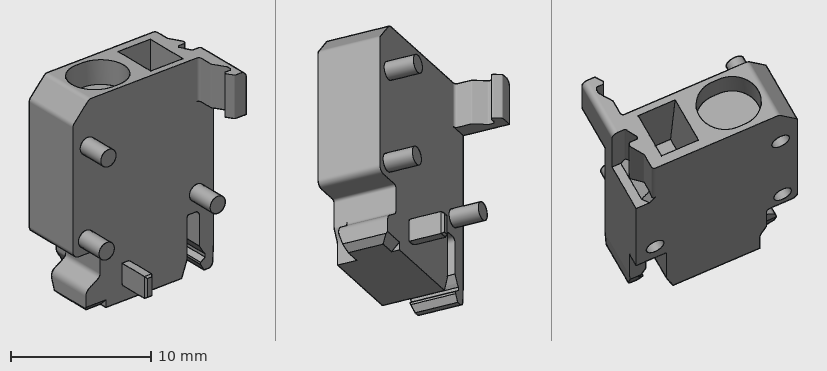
import cadquery as cq
import math


thickness = 4.99
depth = 12.9
height = 17.45
shoulder_z = 4.97

chamfer_y = 1.48
chamfer_z = 1.64
chamfer_rounding = 0.49
back_rounding = 0.49
belly_rounding = 0.52

stem_front = 2.48
stem_back = 10.47
stem_front_inner_rounding = 0.25
stem_back_inner_rounding = 0.14
stem_taper_y = 0.5
stem_taper_z = 1.4
undercut_y = 3.02
undercut_top_z = 2.69
undercut_bottom_z = 1.78
undercut_top_rounding = 0.44
undercut_bottom_rounding = 1.05

side_setback = 1.05
side_slope_z = 1.45
side_slope_x = 0.5
overlap = 0.87

foot_front = 1.19
foot_shoulder_z = 1.9
foot_toe_y = 0.52
foot_toe_z = 0.5
foot_shoulder_rounding = 0.7
foot_root_rounding = 0.44
foot_end_chamfer = 0.63

arm_inner = 11.59
arm_taper_z = 2.1
arm_tip_back = 12.79
arm_tip_rounding = 0.45
arm_root_rounding = 0.38
arm_neck = (11.94, 1.5)
arm_notch_top = (12.11, 1.27)
arm_notch_bottom = (12.11, 1.01)
arm_nose_top = (11.7, 0.73)
arm_nose_bottom = (11.7, 0.55)
arm_tip_inner = 12.0

ledge_y = 11.57
ramp_start = 1.36
ramp_end = 2.39
root_rounding = 0.23
ramp_rounding = 0.21
catch_rounding = 0.21
lip_rounding = 0.17
end_rounding = 0.12
lip_end_y = 11.85
hook_plate_y = 12.22
hook_catch = 2.91
hook_lip_y = 11.35
hook_length = 3.72
hook_bottom_z = 13.9
recess_plate_y = 12.16
recess_catch = 2.74
recess_lip_y = 11.25
recess_length = 3.85
recess_bottom_z = 12.95
recess_slope_start = 12.2
recess_slope_run = 1.4
recess_skew_x = 0.52
recess_skew_y = 0.38

pocket_x = 2.58
pocket_y = 9.04
pocket_width = 3.73
pocket_length = 2.95
pocket_depth = 5.24
pocket_lean = 0.37
screw_x = 2.51
screw_y = 4.25
screw_width = 4.15
screw_length = 4.71
screw_depth = 2.0

peg_places = [(1.36, 13.7), (11.38, 6.51), (1.2, 6.2)]
peg_diameter = 1.4
peg_length = 2.35

blade_y = 4.78
blade_z = 2.25
blade_thickness = 0.66
blade_width = 1.78
blade_length = 2.81
blade_base_length = 0.17
blade_base_inset = 0.03
blade_tip_length = 0.2
blade_tip_inset = 0.12


def side_plate(points, start_x, end_x):
    """Plate between two X positions with a (Y, Z) outline."""
    return cq.Workplane("YZ", origin=(start_x, 0, 0)).polyline(points).close().extrude(end_x - start_x)


def round_edge(body, y, z, radius):
    """Round the edge along X that lies nearest to (y, z)."""
    mid_x = (side_setback + thickness) / 2
    edge = cq.selectors.NearestToPointSelector((mid_x, y, z))
    return body.edges("|X").edges(edge).fillet(radius)


def make_block(length):
    """Block with shoulders and stem, reaching from X = 0 to the given length."""
    block = side_plate(
        [
            (0, shoulder_z),
            (0, height - chamfer_z),
            (chamfer_y, height),
            (depth, height),
            (depth, shoulder_z),
            (stem_back, shoulder_z),
            (stem_back, stem_taper_z),
            (stem_back - stem_taper_y, 0),
            (undercut_y, 0),
            (undercut_y, undercut_bottom_z),
            (stem_front, undercut_top_z),
            (stem_front, shoulder_z),
        ],
        0,
        length,
    )
    roundings = [
        (0, shoulder_z, belly_rounding),
        (0, height - chamfer_z, chamfer_rounding),
        (chamfer_y, height, chamfer_rounding),
        (depth, height, back_rounding),
        (stem_back, shoulder_z, stem_back_inner_rounding),
        (undercut_y, undercut_bottom_z, undercut_bottom_rounding),
        (stem_front, undercut_top_z, undercut_top_rounding),
        (stem_front, shoulder_z, stem_front_inner_rounding),
    ]
    for y, z, radius in roundings:
        block = round_edge(block, y, z, radius)
    return block


def side_slope_cutter():
    """Wedge that makes the set-back side face lean inwards towards the bottom."""
    return (
        cq.Workplane("XZ")
        .polyline([(side_setback, side_slope_z), (side_setback + side_slope_x, 0), (side_setback, 0)])
        .close()
        .extrude(-depth)
    )


def make_foot():
    """Fixed foot below the front shoulder."""
    inside_y = stem_front + overlap
    root_top_z = undercut_top_z + overlap
    foot = side_plate(
        [
            (inside_y, 0),
            (foot_front + foot_toe_y, 0),
            (foot_front, foot_toe_z),
            (foot_front, foot_shoulder_z),
            (stem_front, undercut_top_z),
            (stem_front, root_top_z),
            (inside_y, root_top_z),
        ],
        side_setback,
        thickness,
    )
    foot = round_edge(foot, foot_front, foot_shoulder_z, foot_shoulder_rounding)
    foot = round_edge(foot, stem_front, undercut_top_z, foot_root_rounding)
    foot = foot.faces(">X").edges("<Z").chamfer(foot_end_chamfer)
    return foot.cut(side_slope_cutter())


def make_arm():
    """Spring arm with a notched tip below the back shoulder."""
    arm = side_plate(
        [
            (depth, shoulder_z + overlap),
            (depth, arm_taper_z),
            (arm_tip_back, 0),
            (arm_tip_inner, 0),
            arm_nose_bottom,
            arm_nose_top,
            arm_notch_bottom,
            arm_notch_top,
            arm_neck,
            (arm_inner, arm_taper_z),
            (arm_inner, shoulder_z + overlap),
        ],
        side_setback,
        thickness,
    )
    arm = round_edge(arm, arm_tip_back, 0, arm_tip_rounding)
    return arm.cut(side_slope_cutter())


def hook_shape(side_x, plate_y, catch, lip_y, length, bottom_z):
    """Hook plate with a ramp, a catch and a lip, starting at the side face at side_x."""
    ramp_foot = (side_x + ramp_start, ledge_y)
    ramp_top = (side_x + ramp_end, plate_y)
    catch_corner = (side_x + catch, plate_y)
    lip_corner = (side_x + catch, lip_y)
    end_corner = (side_x + length, lip_end_y)
    root_inset = root_rounding * (1 - math.sqrt(0.5))
    outline = [
        ramp_foot,
        ramp_top,
        catch_corner,
        lip_corner,
        end_corner,
        (side_x + length, depth),
        (side_x, depth),
    ]
    plate_height = height - bottom_z
    shape = (
        cq.Workplane("XY", origin=(0, 0, bottom_z))
        .moveTo(side_x, ledge_y - root_rounding)
        .threePointArc((side_x + root_inset, ledge_y - root_inset), (side_x + root_rounding, ledge_y))
        .polyline(outline, includeCurrent=True)
        .close()
        .extrude(plate_height)
    )
    roundings = [
        (ramp_foot, ramp_rounding),
        (ramp_top, ramp_rounding),
        (catch_corner, catch_rounding),
        (lip_corner, lip_rounding),
        (end_corner, end_rounding),
    ]
    for (x, y), radius in roundings:
        edge = cq.selectors.NearestToPointSelector((x, y, bottom_z + plate_height / 2))
        shape = shape.edges("|Z").edges(edge).fillet(radius)
    return shape


def sloped_floor():
    """45 degree wedge left standing on the recess floor, skewed near the side face."""

    def triangle(y):
        return [(y, 0), (y - recess_slope_run, 0), (y - recess_slope_run, recess_slope_run)]

    low_edge_y = recess_slope_start - recess_skew_y
    straight = side_plate(triangle(recess_slope_start), recess_skew_x, recess_length)
    skewed = (
        cq.Workplane("YZ")
        .polyline(triangle(low_edge_y))
        .close()
        .workplane(offset=recess_skew_x)
        .polyline(triangle(recess_slope_start))
        .close()
        .loft(ruled=True)
    )
    return straight.union(skewed).translate((0, 0, recess_bottom_z))


def make_recess():
    """Recess in the -X side for the hook of a neighbouring block."""
    recess = hook_shape(0, recess_plate_y, recess_catch, recess_lip_y, recess_length, recess_bottom_z)
    return recess.cut(sloped_floor())


def make_pocket():
    """Rectangular wire pocket whose front wall leans inwards towards the floor."""
    front_y = pocket_y - pocket_length / 2
    back_y = pocket_y + pocket_length / 2
    floor_z = height - pocket_depth
    return side_plate(
        [(front_y, height), (back_y, height), (back_y, floor_z), (front_y + pocket_lean, floor_z)],
        pocket_x - pocket_width / 2,
        pocket_x + pocket_width / 2,
    )


def make_screw_opening():
    """Round-ended opening over the screw."""
    return (
        cq.Workplane("XY", origin=(screw_x, screw_y, height - screw_depth))
        .slot2D(screw_length, screw_width, 90)
        .extrude(screw_depth)
    )


def make_pegs(start_x):
    """Cylinders along +X at the peg places; used for both pegs and sockets."""
    return (
        cq.Workplane("YZ", origin=(start_x, 0, 0))
        .pushPoints(peg_places)
        .circle(peg_diameter / 2)
        .extrude(peg_length)
    )


def make_housing():
    body = make_block(thickness).union(make_foot()).union(make_arm())
    body = round_edge(body, arm_inner, shoulder_z, arm_root_rounding)
    hook = hook_shape(thickness, hook_plate_y, hook_catch, hook_lip_y, hook_length, hook_bottom_z)
    hook = hook.intersect(make_block(thickness + hook_length))
    body = body.union(hook).union(make_pegs(thickness))
    for cutter in (make_recess(), make_pocket(), make_screw_opening(), make_pegs(0)):
        body = body.cut(cutter)
    return body


def blade_section(start_x, length, start_inset, end_inset):
    """Stretch of the blade whose four sides are drawn in by the given insets at its ends."""
    return (
        cq.Workplane("YZ", origin=(start_x, blade_y, blade_z))
        .rect(blade_thickness - 2 * start_inset, blade_width - 2 * start_inset)
        .workplane(offset=length)
        .rect(blade_thickness - 2 * end_inset, blade_width - 2 * end_inset)
        .loft(ruled=True)
    )


def make_blade():
    """Contact blade standing on the +X side, with a slightly drawn-in base and a bevelled tip."""
    straight_x = thickness + blade_base_length
    tip_x = thickness + blade_length - blade_tip_length
    base = blade_section(thickness, blade_base_length, blade_base_inset, 0)
    straight = blade_section(straight_x, tip_x - straight_x, 0, 0)
    tip = blade_section(tip_x, blade_tip_length, 0, blade_tip_inset)
    return base.union(straight).union(tip)


housing = make_housing()
blade = make_blade()
result = cq.Compound.makeCompound([housing.solids().val(), blade.solids().val()])